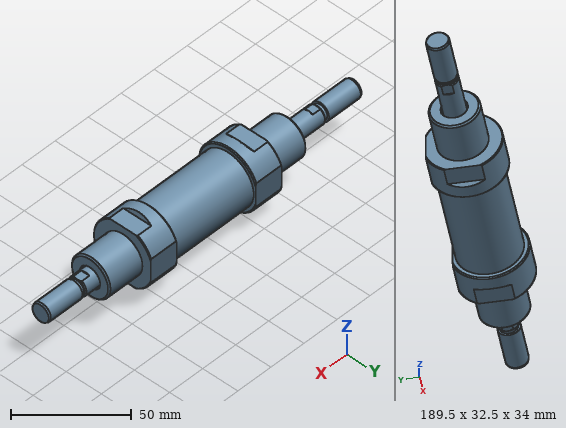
import cadquery as cq


total_length = 189.5
left_reach = 40.0
right_reach = 30.0
collar_length = 16.0
nose_length = 20.0
cover_length = collar_length + nose_length
barrel_length = total_length - left_reach - right_reach - 2 * cover_length
barrel_start = -total_length / 2 + left_reach + cover_length
barrel_end = barrel_start + barrel_length

barrel_radius = 14.5

collar_radius = 34.0 / 2
collar_inner_chamfer = 0.5
collar_outer_chamfer = 0.4
nose_radius = 11.0
nose_chamfer = 0.8
bore_radius = 11.5 / 2
collar_width = 32.5
side_flat_offset = collar_width - collar_radius
wrench_flat_offset = 15.0
wrench_flat_length = 8.5
wrench_flat_runout = 1.05

rod_radius = 10.0 / 2
tip_length = 20.0
tip_chamfer_length = 1.0
tip_chamfer_depth = 0.4
groove_radius = 4.0
groove_length = 1.9
shoulder_chamfer = 0.5
rod_flat_offset = 9.0 / 2
rod_flat_end = 27.1


def revolve_about_x(points):
    """Solid of revolution about the X axis from a half outline of (x, radius) points."""
    return cq.Workplane("XY").polyline(points).close().revolve(360, (0, 0, 0), (1, 0, 0))


def make_barrel():
    return cq.Workplane("YZ").workplane(offset=barrel_start).circle(barrel_radius).extrude(barrel_length)


def make_cover():
    """End cover with its barrel face at X = 0 and its nose toward +X."""
    cover = revolve_about_x([
        (0, bore_radius),
        (0, collar_radius - collar_inner_chamfer),
        (collar_inner_chamfer, collar_radius),
        (collar_length - collar_outer_chamfer, collar_radius),
        (collar_length, collar_radius - collar_outer_chamfer),
        (collar_length, nose_radius),
        (cover_length - nose_chamfer, nose_radius),
        (cover_length, nose_radius - nose_chamfer),
        (cover_length, bore_radius),
    ])

    side_cut = cq.Workplane("XY").box(
        collar_length, collar_radius, 2 * collar_radius, centered=(False, False, True)
    ).translate((0, side_flat_offset, 0))
    cover = cover.cut(side_cut)

    flat_start = collar_length - wrench_flat_length
    wrench_cut = (
        cq.Workplane("XZ")
        .polyline([
            (flat_start, wrench_flat_offset),
            (flat_start - wrench_flat_runout, collar_radius),
            (collar_length, collar_radius),
            (collar_length, wrench_flat_offset),
        ])
        .close()
        .extrude(collar_radius, both=True)
    )
    return cover.cut(wrench_cut).cut(wrench_cut.mirror("XY"))


def make_rod(reach):
    """Rod with its inner end at X = 0, through a cover and out by the given reach."""
    rod_length = cover_length + reach
    groove_outer = rod_length - tip_length
    groove_inner = groove_outer - groove_length
    rod = revolve_about_x([
        (0, 0),
        (0, rod_radius),
        (groove_inner - shoulder_chamfer, rod_radius),
        (groove_inner, rod_radius - shoulder_chamfer),
        (groove_inner, groove_radius),
        (groove_outer, groove_radius),
        (groove_outer, rod_radius),
        (rod_length - tip_chamfer_length, rod_radius),
        (rod_length, rod_radius - tip_chamfer_depth),
        (rod_length, 0),
    ])

    flat_start = rod_length - rod_flat_end
    flat_cut = cq.Workplane("XY").box(
        groove_inner - flat_start, 2 * rod_radius, rod_radius, centered=(False, True, False)
    ).translate((flat_start, 0, rod_flat_offset))
    return rod.cut(flat_cut).cut(flat_cut.mirror("XY"))


barrel = make_barrel()

covers = []
rods = []
for facing_left, seat, reach in [(True, barrel_start, left_reach), (False, barrel_end, right_reach)]:
    cover = make_cover()
    rod = make_rod(reach)
    if facing_left:
        cover = cover.mirror("YZ")
        rod = rod.mirror("YZ")
    covers.append(cover.translate((seat, 0, 0)))
    rods.append(rod.translate((seat, 0, 0)))

result = cq.Compound.makeCompound([
    barrel.val(),
    *[cover.val() for cover in covers],
    *[rod.val() for rod in rods],
])